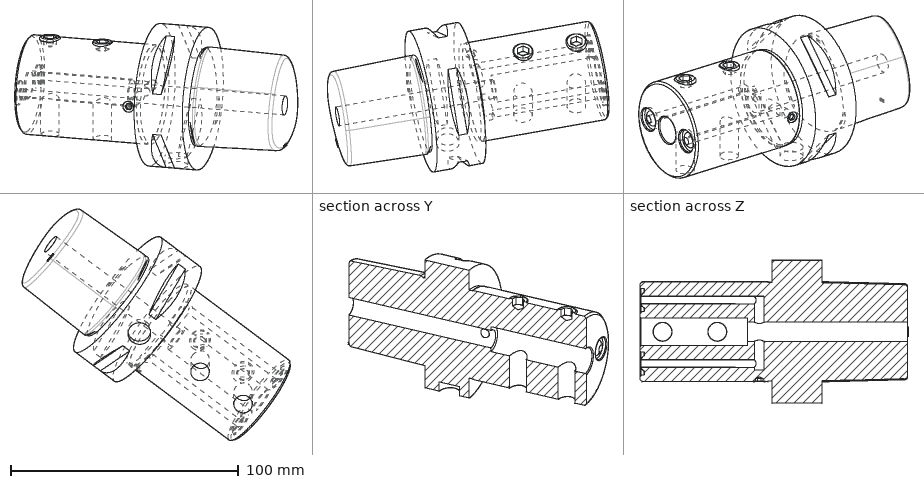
import cadquery as cq
import math


body_length = 57.9
neck_start = 56.2
flange_end = 80.0
straight_end = 81.8
taper_start = 82.8
shank_end = 117.6
overall_length = 118.0

body_radius = 22.01
body_chamfer = 1.0
neck_radius = 21.77
flange_radius = 31.5

shank_mean_radius = 22.01
lobe_height = 1.4
taper_slope = 1 / 40
end_rounding = 1.4
spline_steps = 12
lobe_angles = (90, 210, 330)

relief_radius = 22.5
relief_flat_end = 80.8

tab_width = 4.2
tab_top = -17.8
tab_height = 1.0
tab_root = 1.2

bore_diameter = 12.0
bore_depth = 47.2
bore_chamfer = 0.5
through_diameter = 8.4

nozzle_offset = 13.9
nozzle_seat_diameter = 10.0
nozzle_rim_diameter = 10.9
nozzle_seat_depth = 1.8
nozzle_ball_radius = 4.2
nozzle_dome_diameter = 7.0
nozzle_hole_diameter = 3.2

clamp_screws = ((9.9, 22.5), (34.0, 22.3))
clamp_diameter = 10.0
clamp_top_diameter = 8.1
clamp_socket = 5.0
clamp_socket_depth = 4.7
clamp_socket_turn = 15
clamp_exit_diameter = 8.1

side_screw_x = 52.4
side_screw_diameter = 5.0
side_screw_recess = 0.4
side_socket = 2.7
side_socket_depth = 1.8
side_screw_length = 5.0
channel_diameter = 4.1

slot_x = 68.0
slot_depth = 3.7
slot_floor_width = 3.9
slot_wall_angle = 30
slot_angles = (45, 135, 225, 315)
chip_diameter = 10.0
chip_depth = 4.5


def rod(x_start, x_end, diameter, y=0.0):
    """Cylinder parallel to X."""
    return (
        cq.Workplane("YZ", origin=(x_start, y, 0))
        .circle(diameter / 2)
        .extrude(x_end - x_start)
    )


def cone(base, direction, base_radius, end_radius, height):
    """Truncated cone from a base point along a direction."""
    solid = cq.Solid.makeCone(base_radius, end_radius, height, cq.Vector(*base), cq.Vector(*direction))
    return cq.Workplane("XY").add(solid)


def hex_socket(plane, across_flats, depth):
    """Hexagon pocket below a plane, with a drill-point bottom."""
    corner_diameter = across_flats / math.cos(math.pi / 6)
    flat_depth = depth - across_flats / 4
    prism = cq.Workplane(plane).polygon(6, corner_diameter).extrude(-flat_depth)
    tip_base = plane.toWorldCoords((0, 0, -flat_depth))
    tip = cone(tip_base.toTuple(), (-plane.zDir).toTuple(), across_flats / 2, 0, across_flats / 4)
    return prism.union(tip)


def lobe_point(angle, mean_radius):
    """Point of the lobed outline whose normal has the given angle in degrees."""
    normal = math.radians(angle)
    phase = 3 * (normal - math.pi / 2)
    distance = mean_radius + lobe_height * math.cos(phase)
    slope = -3 * lobe_height * math.sin(phase)
    return (
        distance * math.cos(normal) - slope * math.sin(normal),
        distance * math.sin(normal) + slope * math.cos(normal),
    )


def lobed_outline(x, mean_radius):
    """Closed three-lobed outline at a station, one curve for each lobe."""
    outline = cq.Workplane("YZ", origin=(x, 0, 0))
    outline = outline.moveTo(*lobe_point(lobe_angles[0] - 60, mean_radius))
    for lobe in lobe_angles:
        first = lobe - 60
        points = [
            lobe_point(first + 120 * step / spline_steps, mean_radius)
            for step in range(1, spline_steps + 1)
        ]
        ends = [math.radians(angle + 90) for angle in (first, first + 120)]
        tangents = [(math.cos(angle), math.sin(angle)) for angle in ends]
        outline = outline.spline(points, tangents=tangents, includeCurrent=True)
    return outline.close()


def lobed_section(x_start, x_end, start_radius, end_radius):
    """Shank piece between two lobed outlines."""
    start = lobed_outline(x_start, start_radius).val()
    end = lobed_outline(x_end, end_radius).val()
    return cq.Workplane("XY").add(cq.Solid.makeLoft([start, end], True))


def shank():
    blend_radius = shank_mean_radius - taper_slope / 2 * (taper_start - straight_end)
    end_radius = blend_radius - taper_slope * (shank_end - taper_start)
    straight = lobed_section(flange_end, straight_end, shank_mean_radius, shank_mean_radius)
    blend = lobed_section(straight_end, taper_start, shank_mean_radius, blend_radius)
    taper = lobed_section(taper_start, shank_end, blend_radius, end_radius)
    taper = taper.faces(">X").edges().fillet(end_rounding)
    outer = shank_mean_radius + 2 * lobe_height
    relief = (
        cq.Workplane("XY")
        .moveTo(flange_end, relief_radius)
        .lineTo(relief_flat_end, relief_radius)
        .lineTo(straight_end, relief_radius + straight_end - relief_flat_end)
        .lineTo(straight_end, outer)
        .lineTo(flange_end, outer)
        .close()
        .revolve(360, (0, 0, 0), (1, 0, 0))
    )
    tab = cq.Workplane("XY").box(
        overall_length - shank_end + tab_root, tab_width, tab_height, centered=(False, True, False)
    ).translate((shank_end - tab_root, 0, tab_top - tab_height))
    return straight.cut(relief).union(blend).union(taper).union(tab)


def gripper_slot(angle):
    """Straight V-walled slot across the flange rim, at an angle about X."""
    floor_height = flange_radius - slot_depth
    half_floor = slot_floor_width / 2
    half_top = half_floor + slot_depth * math.tan(math.radians(slot_wall_angle))
    return (
        cq.Workplane("XZ", origin=(slot_x, flange_radius, 0))
        .moveTo(-half_floor, floor_height)
        .lineTo(half_floor, floor_height)
        .lineTo(half_top, flange_radius)
        .lineTo(-half_top, flange_radius)
        .close()
        .extrude(2 * flange_radius)
        .rotate((0, 0, 0), (1, 0, 0), angle - 90)
    )


def tool_bore():
    mouth = cone((0, 0, 0), (1, 0, 0), bore_diameter / 2 + bore_chamfer, bore_diameter / 2, bore_chamfer)
    bore = rod(0, bore_depth, bore_diameter)
    return bore.union(mouth).union(rod(0, overall_length, through_diameter))


def nozzle_pocket(y):
    """Chamfered seat with a ball dome on its floor, drilled through to the coolant channel."""
    rim_chamfer = (nozzle_rim_diameter - nozzle_seat_diameter) / 2
    seat = rod(0, nozzle_seat_depth, nozzle_seat_diameter, y)
    rim = cone((0, y, 0), (1, 0, 0), nozzle_rim_diameter / 2, nozzle_seat_diameter / 2, rim_chamfer)
    ball_x = nozzle_seat_depth + math.sqrt(nozzle_ball_radius**2 - (nozzle_dome_diameter / 2) ** 2)
    dome = cq.Workplane("XY").sphere(nozzle_ball_radius).translate((ball_x, y, 0))
    hole = rod(0, side_screw_x, nozzle_hole_diameter, y)
    return seat.union(rim).cut(dome).union(hole)


def clamp_screw(x, top):
    """Chamfered screw from the bore up to just above the body, and the socket to cut from it."""
    chamfer = (clamp_diameter - clamp_top_diameter) / 2
    bottom = bore_diameter / 2
    shaft = (
        cq.Workplane("XY", origin=(x, 0, bottom))
        .circle(clamp_diameter / 2)
        .extrude(top - bottom)
        .faces(">Z")
        .chamfer(chamfer)
    )
    plane = cq.Plane((x, 0, top), xDir=(1, 0, 0), normal=(0, 0, 1)).rotated((0, 0, clamp_socket_turn))
    return shaft, hex_socket(plane, clamp_socket, clamp_socket_depth)


def side_screw_pocket():
    face_y = side_screw_recess - body_radius
    recess = (
        cq.Workplane("XZ", origin=(side_screw_x, face_y, 0))
        .circle(side_screw_diameter / 2)
        .extrude(2 * side_screw_recess)
    )
    plane = cq.Plane((side_screw_x, face_y, 0), xDir=(1, 0, 0), normal=(0, -1, 0))
    return recess.union(hex_socket(plane, side_socket, side_socket_depth))


def coolant_channel():
    """Cross hole from the inner end of the side screw to the far nozzle hole."""
    start_y = side_screw_recess + side_screw_length - body_radius
    end_y = nozzle_offset + nozzle_hole_diameter / 2
    channel = cq.Workplane("XZ", origin=(side_screw_x, start_y, 0)).circle(channel_diameter / 2)
    return channel.extrude(start_y - end_y)


part = rod(0, neck_start, 2 * body_radius).faces("<X").chamfer(body_chamfer)
part = part.union(rod(neck_start, body_length, 2 * neck_radius))
part = part.union(rod(body_length, flange_end, 2 * flange_radius))
part = part.union(shank())

for slot_angle in slot_angles:
    part = part.cut(gripper_slot(slot_angle))
chip_pocket = cq.Workplane("XY", origin=(slot_x, 0, -flange_radius)).circle(chip_diameter / 2)
part = part.cut(chip_pocket.extrude(chip_depth))

part = part.cut(tool_bore())
for side in (-1, 1):
    part = part.cut(nozzle_pocket(side * nozzle_offset))

for screw_x, screw_top in clamp_screws:
    screw, socket = clamp_screw(screw_x, screw_top)
    underside_hole = cq.Workplane("XY", origin=(screw_x, 0, -body_radius)).circle(clamp_exit_diameter / 2)
    part = part.union(screw).cut(socket).cut(underside_hole.extrude(body_radius))

part = part.cut(side_screw_pocket())
result = part.cut(coolant_channel())